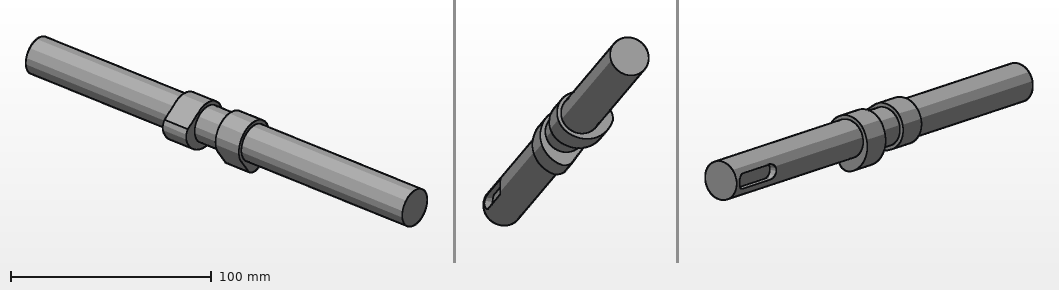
import cadquery as cq
import math

shaft_length = 241.0
shaft_radius = 10.0

key_width = 8.0
key_length = 30.0
key_end_gap = 2.5
key_depth = 4.0

cam_width = 15.0
first_cam_start = 93.3
cam_gap = 15.0
cam_pitch = cam_width + cam_gap
cam_angles = [0, 90]

base_radius = 12.0
flank_start_y = -5.3
flank_start_z = math.sqrt(base_radius**2 - flank_start_y**2)
flank_end = (-15.5, 3.9)
nose_mid = (-16.6, 1.5)
nose_end = (-16.9, -1.5)
bulge_mid = (-10.8, -10.0)
bulge_start_y = 3.5
bulge_start = (bulge_start_y, -math.sqrt(base_radius**2 - bulge_start_y**2))
base_mid = (base_radius * math.cos(math.radians(45)), base_radius * math.sin(math.radians(45)))


def make_shaft():
    """Round shaft with a keyway near its +X end."""
    shaft = cq.Workplane("YZ").circle(shaft_radius).extrude(shaft_length)
    key_center_x = shaft_length - key_end_gap - key_length / 2
    keyway = (
        cq.Workplane("XZ", origin=(key_center_x, shaft_radius - key_depth, 0))
        .slot2D(key_length, key_width)
        .extrude(-key_depth)
    )
    return shaft.cut(keyway)


def make_cam(start_x, angle):
    """Cam bored to fit the shaft: base circle, straight flank, round nose and bulged flank."""
    profile = (
        cq.Workplane("YZ", origin=(start_x, 0, 0))
        .moveTo(*bulge_start)
        .threePointArc(base_mid, (flank_start_y, flank_start_z))
        .lineTo(*flank_end)
        .threePointArc(nose_mid, nose_end)
        .threePointArc(bulge_mid, bulge_start)
        .close()
        .extrude(cam_width)
    )
    bore = cq.Workplane("YZ", origin=(start_x, 0, 0)).circle(shaft_radius).extrude(cam_width)
    return profile.cut(bore).rotate((0, 0, 0), (1, 0, 0), angle)


shaft = make_shaft()

cams = []
for index, angle in enumerate(cam_angles):
    cams.append(make_cam(first_cam_start + index * cam_pitch, angle))

result = cq.Compound.makeCompound([shaft.val(), *[cam.val() for cam in cams]])